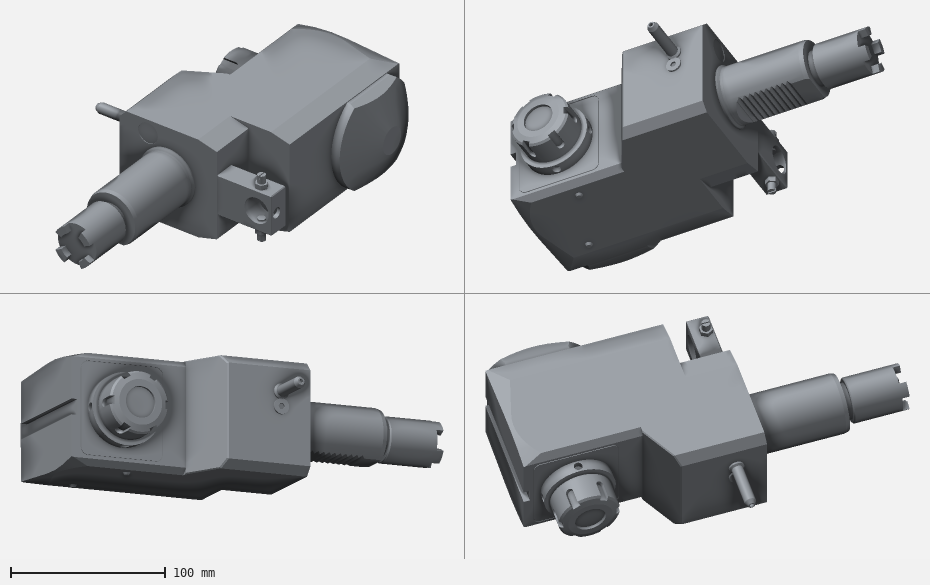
import cadquery as cq
import math


HALF_HEIGHT = 37.5
BACK_Y = 155.7
LEFT_X = -39.0
RIGHT_X = 71.7
FOOT_RIGHT_X = 38.9
HEAD_LEFT_X = -9.0
HEAD_FRONT_Y = 35.0
SLOPE_START_Y = 58.5
SLOPE_END_Y = 74.9
SLOPE_CHAMFER = 0.8
FOOT_CHAMFER = 5.7
HEAD_CHAMFER = 4.2
TAPER_ANGLE = 15.0
SIDE_TAPER = math.tan(math.radians(TAPER_ANGLE))
TAPER_LENGTH = 14.9
BEVEL_SLOPE = 4.5
BEVEL_ARC_RADIUS = 122.5
BEVEL_TOP_X = 21.0
BEVEL_TOP_Z = 36.8
BACK_SLOT_WIDTH = 10.5
BACK_SLOT_DEPTH = 4.2
PLUG_X = -16.2
PLUG_Z = 27.5
PLUG_RADIUS = 7.8
ENGRAVING_DEPTH = 0.5

SPINDLE_Y = 120.0
NUT_TIP_X = -39.0
NUT_BACK_X = -18.3
NUT_RADIUS = 20.9
NUT_FACE_RADIUS = 15.0
NUT_CHAMFER = 2.5
COLLET_RADIUS = 10.5
COLLET_DEPTH = 2.0
NECK_RADIUS = 16.5
COLLAR_TIP_X = -17.2
COLLAR_RADIUS = 24.3
COLLAR_HOLE_RADIUS = 2.9
COLLAR_HOLE_DEPTH = 4.0
COLLAR_HOLES = 4
NUT_SLOTS = 6
NUT_SLOT_WIDTH = 5.5
NUT_SLOT_END_X = -24.5
NUT_SLOT_DEPTH = 2.9
COVER_FRONT_Y = 91.0
COVER_BACK_Y = 149.2
COVER_HEIGHT = 62.9
COVER_CORNER = 5.2
COVER_GAP = 0.5

CAP_RADIUS = 39.5
CAP_RIM_X = 78.5
CAP_TIP_X = 91.8
CAP_TIP_RADIUS = 10.0
CAP_BACK_Y = 151.8
CAP_HALF_HEIGHT = 32.9
CAP_STRAIGHT_X = 74.3

FLANGE_RADIUS = 21.7
FLANGE_LENGTH = 2.5
FLANGE_CHAMFER = 1.3
SEAL_END_Y = -4.2
SHANK_RADIUS = 20.0
SHANK_END_Y = -62.9
SHANK_CHAMFER_LENGTH = 2.9
SHANK_CHAMFER = 0.8
NECK_END_Y = -67.0
SHANK_NECK_RADIUS = 12.3
DRIVE_RADIUS = 15.5
DRIVE_CHAMFER = 0.8
DRIVE_FACE_Y = -100.2
DRIVE_END_Y = -105.0
LUG_INNER_RADIUS = 10.2
LUGS = 4
LUG_GAP_ANGLE = 52.0
RACK_FLAT_Z = -16.5
RACK_RAMP_Y = -5.2
RACK_FIRST_TOOTH_Y = -11.0
RACK_PITCH = 4.0
RACK_GROOVES = 10
RACK_GROOVE_DEPTH = 1.5

ARM_END_X = 82.2
ARM_FRONT_Y = 0.8
ARM_BACK_Y = 16.0
ARM_HALF_HEIGHT = 15.5
ARM_CHAMFER = 0.65
ARM_BORE_X = 70.2
ARM_BORE_RADIUS = 9.7
ARM_END_HOLE_RADIUS = 4.0
SCREW_Y = 6.3
SCREW_RADIUS = 2.9
SCREW_END_Z = 25.0
SCREW_INNER_Z = 8.3
SCREW_SLOT_WIDTH = 0.8
SCREW_SLOT_DEPTH = 2.3
HEX_NUT_DIAMETER = 9.0
HEX_NUT_HEIGHT = 3.7

SIDE_PIN_Y = 20.9
SIDE_PIN_Z = 16.0
SIDE_PIN_TIP_X = -71.7
SIDE_PIN_RADIUS = 4.0
SIDE_PIN_CHAMFER = 2.9
SIDE_PIN_TIP_RADIUS = 2.3
SIDE_PIN_SOCKET_RADIUS = 1.5
SIDE_PIN_SOCKET_DEPTH = 4.0
SIDE_PIN_COLLAR_RADIUS = 5.2
SIDE_PIN_COLLAR_LENGTH = 2.3
SIDE_SCREW_Z = 6.0
SIDE_SCREW_RADIUS = 5.2
SIDE_SCREW_HEIGHT = 1.3
SIDE_SCREW_HEX = 4.5
BOTTOM_PINS = [(2.5, 111.6), (49.5, 128.9)]
BOTTOM_PIN_Z = -39.0
BOTTOM_PIN_RADIUS = 2.5
BOTTOM_PIN_TIP_RADIUS = 1.5

HEX_SIDES = 6
OVERLAP = 1.3


def box(x0, x1, y0, y1, z0, z1):
    """Box between two corners."""
    return cq.Workplane("XY").box(x1 - x0, y1 - y0, z1 - z0, centered=False).translate((x0, y0, z0))


def cylinder_x(x0, x1, radius, y, z):
    """Cylinder along X."""
    return cq.Workplane("YZ", origin=(x0, y, z)).circle(radius).extrude(x1 - x0)


def turned_x(profile, y, z):
    """Solid turned about an axis along X, from (x, radius) points."""
    return cq.Workplane("XY").polyline(profile).close().revolve(360, (0, 0), (1, 0)).translate((0, y, z))


def turned_y(profile):
    """Solid turned about the Y axis, from (radius, y) points."""
    return cq.Workplane("XY").polyline(profile).close().revolve(360, (0, 0), (0, 1))


def section(left_x, left_chamfer, right_x, y0, y1):
    """Housing length with a 45 degree left chamfer and a tapered right side."""
    side_z = HALF_HEIGHT - TAPER_LENGTH * SIDE_TAPER
    upper = [
        (left_x, HALF_HEIGHT - left_chamfer),
        (left_x + left_chamfer, HALF_HEIGHT),
        (right_x - TAPER_LENGTH, HALF_HEIGHT),
        (right_x, side_z),
    ]
    lower = [(x, -z) for x, z in reversed(upper)]
    return cq.Workplane("XZ", origin=(0, y0, 0)).polyline(upper + lower).close().extrude(y0 - y1)


def back_bevel():
    """Envelope whose flared top and bottom bevel the rear edges of the housing.

    Its rear outline is an arc that runs tangent into a gentle slope on the right.
    """
    slope = math.radians(BEVEL_SLOPE)
    arc_center_z = BEVEL_TOP_Z - BEVEL_ARC_RADIUS
    tangent_x = BEVEL_TOP_X + BEVEL_ARC_RADIUS * math.sin(slope)
    tangent_z = arc_center_z + BEVEL_ARC_RADIUS * math.cos(slope)
    right_x = RIGHT_X + OVERLAP
    right_z = tangent_z - (right_x - tangent_x) * math.tan(slope)
    left_z = arc_center_z + math.sqrt(BEVEL_ARC_RADIUS**2 - (BEVEL_TOP_X - LEFT_X) ** 2)
    return (
        cq.Workplane("XZ", origin=(0, BACK_Y, 0))
        .moveTo(LEFT_X, left_z)
        .threePointArc((BEVEL_TOP_X, BEVEL_TOP_Z), (tangent_x, tangent_z))
        .lineTo(right_x, right_z)
        .lineTo(right_x, -right_z)
        .lineTo(tangent_x, -tangent_z)
        .threePointArc((BEVEL_TOP_X, -BEVEL_TOP_Z), (LEFT_X, -left_z))
        .close()
        .extrude(BACK_Y, taper=-TAPER_ANGLE)
    )


def make_housing():
    foot = section(LEFT_X, FOOT_CHAMFER, FOOT_RIGHT_X, 0, SLOPE_END_Y)
    slope = (
        cq.Workplane("XY", origin=(0, 0, -HALF_HEIGHT))
        .polyline([(LEFT_X, SLOPE_START_Y), (HEAD_LEFT_X, SLOPE_END_Y), (LEFT_X, SLOPE_END_Y)])
        .close()
        .extrude(2 * HALF_HEIGHT)
    )
    head = section(HEAD_LEFT_X, HEAD_CHAMFER, RIGHT_X, SLOPE_END_Y, BACK_Y)
    neck = section(LEFT_X, FOOT_CHAMFER, RIGHT_X, HEAD_FRONT_Y, SLOPE_END_Y)
    housing = foot.union(neck).cut(slope)
    slope_normal = cq.Vector(SLOPE_START_Y - SLOPE_END_Y, HEAD_LEFT_X - LEFT_X, 0)
    slope_face = housing.faces(cq.selectors.ParallelDirSelector(slope_normal))
    housing = slope_face.edges("not >X").chamfer(SLOPE_CHAMFER).union(head)
    housing = housing.intersect(back_bevel())

    half_slot = BACK_SLOT_WIDTH / 2
    slot = box(HEAD_LEFT_X, RIGHT_X, BACK_Y - BACK_SLOT_DEPTH, BACK_Y, -half_slot, half_slot)
    plug = cq.Workplane("XZ", origin=(PLUG_X, 0, PLUG_Z)).circle(PLUG_RADIUS).extrude(-ENGRAVING_DEPTH)
    return housing.cut(slot).cut(plug).cut(make_cover_gap())


def make_cover_gap():
    """Narrow gap around the rounded cover plate behind the spindle."""
    width = COVER_BACK_Y - COVER_FRONT_Y
    middle_y = (COVER_BACK_Y + COVER_FRONT_Y) / 2

    def plate(inset):
        sketch = cq.Sketch().rect(width - 2 * inset, COVER_HEIGHT - 2 * inset)
        sketch = sketch.vertices().fillet(COVER_CORNER - inset)
        plane = cq.Workplane("YZ", origin=(HEAD_LEFT_X, middle_y, 0))
        return plane.placeSketch(sketch).extrude(ENGRAVING_DEPTH)

    return plate(0).cut(plate(COVER_GAP))


def make_spindle():
    inside_x = HEAD_LEFT_X + OVERLAP
    spindle = turned_x(
        [
            (inside_x, 0),
            (inside_x, COLLAR_RADIUS),
            (COLLAR_TIP_X, COLLAR_RADIUS),
            (COLLAR_TIP_X, NECK_RADIUS),
            (NUT_BACK_X, NECK_RADIUS),
            (NUT_BACK_X, NUT_RADIUS),
            (NUT_TIP_X + NUT_CHAMFER, NUT_RADIUS),
            (NUT_TIP_X + NUT_CHAMFER / 2, NUT_RADIUS - NUT_CHAMFER / 2),
            (NUT_TIP_X, NUT_FACE_RADIUS),
            (NUT_TIP_X, 0),
        ],
        SPINDLE_Y,
        0,
    )
    spindle = spindle.cut(cylinder_x(NUT_TIP_X, NUT_TIP_X + COLLET_DEPTH, COLLET_RADIUS, SPINDLE_Y, 0))

    axis_start = (0, SPINDLE_Y, 0)
    axis_end = (1, SPINDLE_Y, 0)
    half_width = NUT_SLOT_WIDTH / 2
    arc_x = NUT_SLOT_END_X - half_width
    slot = (
        cq.Workplane("XZ", origin=(0, SPINDLE_Y + NUT_RADIUS - NUT_SLOT_DEPTH, 0))
        .moveTo(NUT_TIP_X, -half_width)
        .lineTo(arc_x, -half_width)
        .threePointArc((NUT_SLOT_END_X, 0), (arc_x, half_width))
        .lineTo(NUT_TIP_X, half_width)
        .close()
        .extrude(-2 * NUT_SLOT_DEPTH)
    )
    for i in range(NUT_SLOTS):
        spindle = spindle.cut(slot.rotate(axis_start, axis_end, i * 360 / NUT_SLOTS))

    hole_x = (COLLAR_TIP_X + HEAD_LEFT_X) / 2
    hole = (
        cq.Workplane("XY", origin=(hole_x, SPINDLE_Y, COLLAR_RADIUS - COLLAR_HOLE_DEPTH))
        .circle(COLLAR_HOLE_RADIUS)
        .extrude(2 * COLLAR_HOLE_DEPTH)
    )
    for i in range(COLLAR_HOLES):
        spindle = spindle.cut(hole.rotate(axis_start, axis_end, i * 360 / COLLAR_HOLES))
    return spindle


def make_cap():
    """Conical end cap with a flat back, trimmed above and below at the side taper angle."""
    start_x = RIGHT_X - OVERLAP
    cap = turned_x(
        [
            (start_x, 0),
            (start_x, CAP_RADIUS),
            (CAP_RIM_X, CAP_RADIUS),
            (CAP_TIP_X, CAP_TIP_RADIUS),
            (CAP_TIP_X, 0),
        ],
        SPINDLE_Y,
        0,
    )
    end_z = CAP_HALF_HEIGHT - (CAP_TIP_X - CAP_STRAIGHT_X) * SIDE_TAPER
    upper = [(start_x, CAP_HALF_HEIGHT), (CAP_STRAIGHT_X, CAP_HALF_HEIGHT), (CAP_TIP_X, end_z)]
    lower = [(x, -z) for x, z in reversed(upper)]
    envelope = (
        cq.Workplane("XZ", origin=(0, CAP_BACK_Y, 0)).polyline(upper + lower).close()
        .extrude(CAP_BACK_Y)
    )
    return cap.intersect(envelope)


def make_shank():
    shank = turned_y(
        [
            (0, OVERLAP),
            (FLANGE_RADIUS, OVERLAP),
            (FLANGE_RADIUS, FLANGE_CHAMFER - FLANGE_LENGTH),
            (FLANGE_RADIUS - FLANGE_CHAMFER, -FLANGE_LENGTH),
            (SHANK_RADIUS, SEAL_END_Y),
            (SHANK_RADIUS, SHANK_END_Y + SHANK_CHAMFER_LENGTH),
            (SHANK_RADIUS - SHANK_CHAMFER, SHANK_END_Y),
            (SHANK_NECK_RADIUS, SHANK_END_Y),
            (SHANK_NECK_RADIUS, NECK_END_Y),
            (DRIVE_RADIUS - DRIVE_CHAMFER, NECK_END_Y),
            (DRIVE_RADIUS, NECK_END_Y - DRIVE_CHAMFER),
            (DRIVE_RADIUS, DRIVE_END_Y),
            (0, DRIVE_END_Y),
        ]
    )
    return shank.cut(make_lug_gaps()).cut(make_rack())


def make_rack():
    """Clamping flat under the shank, with a 45 degree run-out and V grooves across it."""
    floor_z = -FLANGE_RADIUS
    ramp = RACK_FLAT_Z - floor_z
    outline = [
        (RACK_RAMP_Y, floor_z),
        (RACK_RAMP_Y - ramp, RACK_FLAT_Z),
        (SHANK_END_Y, RACK_FLAT_Z),
        (SHANK_END_Y, floor_z),
    ]
    half_groove = RACK_PITCH / 2
    rack = cq.Workplane("YZ").polyline(outline).close().extrude(SHANK_RADIUS, both=True)
    for i in range(RACK_GROOVES):
        y = RACK_FIRST_TOOTH_Y - i * RACK_PITCH
        groove = [
            (y, RACK_FLAT_Z),
            (y - half_groove, RACK_FLAT_Z + RACK_GROOVE_DEPTH),
            (y - RACK_PITCH, RACK_FLAT_Z),
            (y - half_groove, RACK_FLAT_Z - RACK_GROOVE_DEPTH),
        ]
        rack = rack.union(
            cq.Workplane("YZ").polyline(groove).close().extrude(SHANK_RADIUS, both=True)
        )
    return rack


def make_lug_gaps():
    """Recess and wedge-shaped gaps that leave the drive lugs at the tip of the shank."""
    length = DRIVE_FACE_Y - DRIVE_END_Y
    plane = cq.Workplane("XZ", origin=(0, DRIVE_FACE_Y, 0))
    gaps = plane.circle(LUG_INNER_RADIUS).extrude(length)
    reach = 2 * DRIVE_RADIUS
    half_width = reach * math.tan(math.radians(LUG_GAP_ANGLE / 2))
    wedge = plane.polyline([(0, 0), (reach, -half_width), (reach, half_width)]).close().extrude(length)
    for i in range(LUGS):
        gaps = gaps.union(wedge.rotate((0, 0, 0), (0, 1, 0), i * 360 / LUGS))
    return gaps


def make_arm():
    start_x = FOOT_RIGHT_X - OVERLAP
    arm = box(start_x, ARM_END_X, ARM_FRONT_Y, ARM_BACK_Y, -ARM_HALF_HEIGHT, ARM_HALF_HEIGHT)
    arm = arm.faces(">X or <Y").edges("not(<X or >Y)").chamfer(ARM_CHAMFER)
    bore = (
        cq.Workplane("XZ", origin=(ARM_BORE_X, ARM_BACK_Y, 0))
        .circle(ARM_BORE_RADIUS)
        .extrude(ARM_BACK_Y)
    )
    end_hole = cylinder_x(ARM_BORE_X, ARM_END_X, ARM_END_HOLE_RADIUS, SCREW_Y, 0)
    screw = make_arm_screw()
    lower_screw = screw.mirror("XY")
    return arm.cut(bore).cut(end_hole).union(screw).union(lower_screw)


def make_arm_screw():
    """Slotted set screw with its lock nut, on top of the arm."""
    stud = (
        cq.Workplane("XY", origin=(ARM_BORE_X, SCREW_Y, SCREW_INNER_Z))
        .circle(SCREW_RADIUS)
        .extrude(SCREW_END_Z - SCREW_INNER_Z)
    )
    nut = (
        cq.Workplane("XY", origin=(ARM_BORE_X, SCREW_Y, ARM_HALF_HEIGHT))
        .polygon(HEX_SIDES, HEX_NUT_DIAMETER)
        .extrude(HEX_NUT_HEIGHT)
    )
    slot = (
        cq.Workplane("XY", origin=(ARM_BORE_X, SCREW_Y, SCREW_END_Z - SCREW_SLOT_DEPTH))
        .rect(SCREW_SLOT_WIDTH, 2 * SCREW_RADIUS)
        .extrude(SCREW_SLOT_DEPTH)
    )
    return stud.cut(slot).union(nut)


def make_side_pin():
    inside_x = LEFT_X + OVERLAP
    collar_x = LEFT_X - SIDE_PIN_COLLAR_LENGTH
    pin = turned_x(
        [
            (inside_x, 0),
            (inside_x, SIDE_PIN_COLLAR_RADIUS),
            (LEFT_X - SIDE_PIN_COLLAR_LENGTH / 2, SIDE_PIN_COLLAR_RADIUS),
            (collar_x, SIDE_PIN_RADIUS),
            (SIDE_PIN_TIP_X + SIDE_PIN_CHAMFER, SIDE_PIN_RADIUS),
            (SIDE_PIN_TIP_X, SIDE_PIN_TIP_RADIUS),
            (SIDE_PIN_TIP_X, 0),
        ],
        SIDE_PIN_Y,
        SIDE_PIN_Z,
    )
    socket = (
        cq.Workplane("YZ", origin=(SIDE_PIN_TIP_X, SIDE_PIN_Y, SIDE_PIN_Z))
        .polygon(HEX_SIDES, 2 * SIDE_PIN_SOCKET_RADIUS)
        .extrude(SIDE_PIN_SOCKET_DEPTH)
    )
    return pin.cut(socket)


def make_side_screw():
    tip_x = LEFT_X - SIDE_SCREW_HEIGHT
    head = cylinder_x(tip_x, LEFT_X + OVERLAP, SIDE_SCREW_RADIUS, SIDE_PIN_Y, SIDE_SCREW_Z)
    socket = (
        cq.Workplane("YZ", origin=(tip_x, SIDE_PIN_Y, SIDE_SCREW_Z))
        .polygon(HEX_SIDES, SIDE_SCREW_HEX)
        .extrude(SIDE_SCREW_HEIGHT)
    )
    return head.cut(socket)


def make_bottom_pin(x, y):
    height = -HALF_HEIGHT - BOTTOM_PIN_Z
    pin = (
        cq.Workplane("XZ")
        .polyline([
            (0, 0),
            (BOTTOM_PIN_TIP_RADIUS, 0),
            (BOTTOM_PIN_RADIUS, height),
            (BOTTOM_PIN_RADIUS, height + OVERLAP),
            (0, height + OVERLAP),
        ])
        .close()
        .revolve(360, (0, 0), (0, 1))
    )
    return pin.translate((x, y, BOTTOM_PIN_Z))


result = make_housing()
for feature in (
    make_spindle(),
    make_cap(),
    make_shank(),
    make_arm(),
    make_side_pin(),
    make_side_screw(),
):
    result = result.union(feature)
for pin_x, pin_y in BOTTOM_PINS:
    result = result.union(make_bottom_pin(pin_x, pin_y))